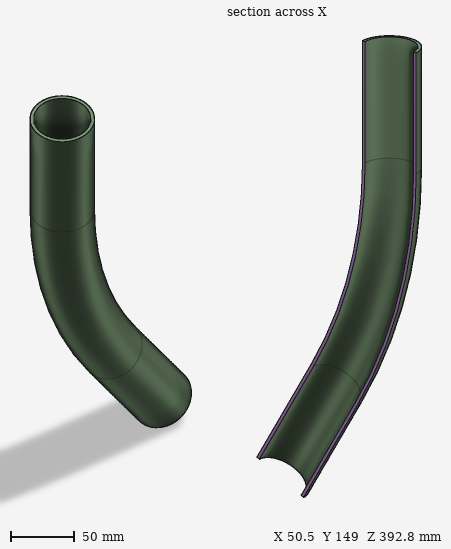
import cadquery as cq
import math

total_height = 392.8
outer_diameter = 50.5
inner_diameter = 44.8
straight_length = 101.5
bend_angle = math.radians(30)

straight_height = straight_length * (1 + math.cos(bend_angle))
rim_height = outer_diameter / 2 * math.sin(bend_angle)
bend_radius = (total_height - straight_height - rim_height) / math.sin(bend_angle)


def bend_point(angle):
    """Point (Y, Z) on the bend centreline after turning by angle from vertical."""
    y = bend_radius * (1 - math.cos(angle))
    z = -straight_length - bend_radius * math.sin(angle)
    return y, z


bend_end_y, bend_end_z = bend_point(bend_angle)
lower_end = (
    bend_end_y + straight_length * math.sin(bend_angle),
    bend_end_z - straight_length * math.cos(bend_angle),
)
centreline = (
    cq.Workplane("YZ")
    .moveTo(0, 0)
    .lineTo(*bend_point(0))
    .threePointArc(bend_point(bend_angle / 2), (bend_end_y, bend_end_z))
    .lineTo(*lower_end)
)

ring = cq.Workplane("XY").circle(outer_diameter / 2).circle(inner_diameter / 2)
result = ring.sweep(centreline)